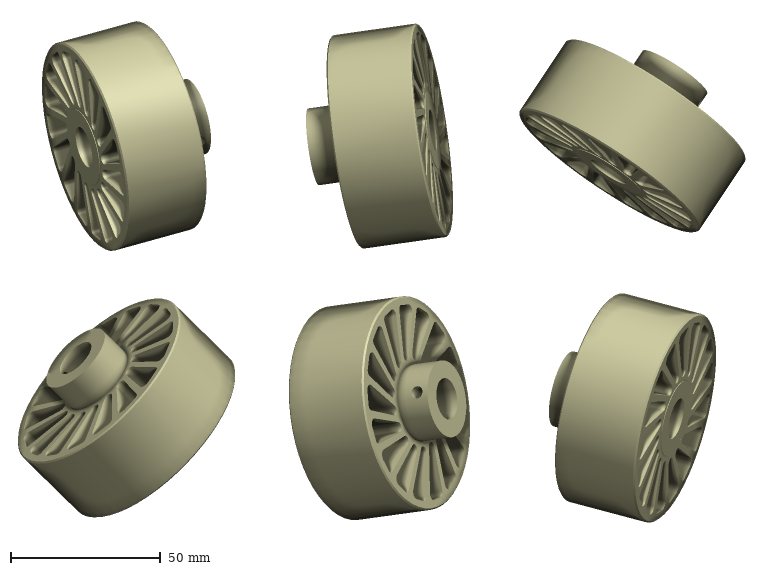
import cadquery as cq
import math

wheel_diameter = 71.95
rim_width = 28.85
rim_chamfer = 0.5
hub_diameter = 25.9
hub_front_step = 0.2
total_width = 40.6
bore_diameter = 13.95

cross_hole_diameter = 4.2
cross_hole_from_end = 4.0

slot_count = 17
slot_corners = [
    (16.3, 0.3, 1.7),
    (31.45, 7.7, 1.65),
    (30.95, 16.6, 2.15),
]


def cylinder(diameter, start, length):
    """Solid cylinder on the wheel axis, running towards +Y from Y = start."""
    plane = cq.Workplane("XZ", origin=(0, start, 0))
    return plane.circle(diameter / 2).extrude(-length)


def tangent_points(first, second):
    """Ends of the outer tangent line from one round to the next, going counterclockwise."""
    (x1, z1, r1), (x2, z2, r2) = first, second
    span = math.hypot(x2 - x1, z2 - z1)
    heading = math.atan2(z2 - z1, x2 - x1)
    normal = heading - math.acos((r1 - r2) / span)
    nx = math.cos(normal)
    nz = math.sin(normal)
    return (x1 + r1 * nx, z1 + r1 * nz), (x2 + r2 * nx, z2 + r2 * nz)


def middle_of_arc(corner, start, end):
    """Point on a corner round halfway between two of its points."""
    x, z, radius = corner
    direction = math.atan2((start[1] + end[1]) / 2 - z, (start[0] + end[0]) / 2 - x)
    return x + radius * math.cos(direction), z + radius * math.sin(direction)


def slot_cutter():
    """One slot, cut through the full width of the rim."""
    rounds = []
    for reach, angle, radius in slot_corners:
        turn = math.radians(angle)
        rounds.append((reach * math.cos(turn), reach * math.sin(turn), radius))
    count = len(rounds)
    sides = [tangent_points(rounds[i], rounds[(i + 1) % count]) for i in range(count)]

    outline = cq.Workplane("XZ").moveTo(*sides[0][0])
    for i in range(count):
        side_end = sides[i][1]
        next_start = sides[(i + 1) % count][0]
        corner = rounds[(i + 1) % count]
        outline = outline.lineTo(*side_end)
        outline = outline.threePointArc(middle_of_arc(corner, side_end, next_start), next_start)
    return outline.close().extrude(-total_width)


rim = cylinder(wheel_diameter, hub_front_step, rim_width).edges().chamfer(rim_chamfer)
hub = cylinder(hub_diameter, 0, total_width)
wheel = rim.union(hub)

slot = slot_cutter()
for i in range(slot_count):
    wheel = wheel.cut(slot.rotate((0, 0, 0), (0, 1, 0), i * 360 / slot_count))

wheel = wheel.cut(cylinder(bore_diameter, 0, total_width))

cross_hole = (
    cq.Workplane("YZ")
    .center(total_width - cross_hole_from_end, 0)
    .circle(cross_hole_diameter / 2)
    .extrude(hub_diameter)
)
result = wheel.cut(cross_hole)